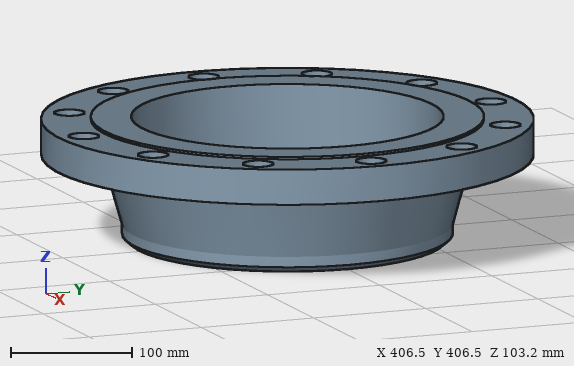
import cadquery as cq
import math

flange_diameter = 406.5
flange_thickness = 29.5
total_height = 103.2

face_diameter = 324.5
face_height = 2.0

bore_diameter = 257.5

bolt_count = 12
bolt_circle_diameter = 362.5
bolt_hole_diameter = 25.0

neck_end_diameter = 273.0
neck_end_height = 13.5
neck_root_diameter = 305.5
root_fillet = 6.0
bevel_width = 5.5
bevel_height = 5.0

flange_top = total_height - face_height
flange_bottom = flange_top - flange_thickness


def revolved_body():
    """Half section in the XZ plane, turned about the Z axis."""
    bore_radius = bore_diameter / 2
    flange_radius = flange_diameter / 2
    face_radius = face_diameter / 2
    neck_radius = neck_end_diameter / 2
    root_radius = neck_root_diameter / 2

    slope_angle = math.atan2(flange_bottom - neck_end_height, root_radius - neck_radius)
    tangent_length = root_fillet / math.tan(slope_angle / 2)
    cone_tangent = (
        root_radius - tangent_length * math.cos(slope_angle),
        flange_bottom - tangent_length * math.sin(slope_angle),
    )
    flange_tangent = (root_radius + tangent_length, flange_bottom)
    fillet_center = (flange_tangent[0], flange_bottom - root_fillet)
    mid_angle = math.pi / 2 + slope_angle / 2
    fillet_middle = (
        fillet_center[0] + root_fillet * math.cos(mid_angle),
        fillet_center[1] + root_fillet * math.sin(mid_angle),
    )

    return (
        cq.Workplane("XZ")
        .moveTo(bore_radius, 0)
        .lineTo(neck_radius - bevel_width, 0)
        .lineTo(neck_radius, bevel_height)
        .lineTo(neck_radius, neck_end_height)
        .lineTo(*cone_tangent)
        .threePointArc(fillet_middle, flange_tangent)
        .lineTo(flange_radius, flange_bottom)
        .lineTo(flange_radius, flange_top)
        .lineTo(face_radius, flange_top)
        .lineTo(face_radius, total_height)
        .lineTo(bore_radius, total_height)
        .close()
        .revolve(360, (0, 0, 0), (0, 1, 0))
    )


def bolt_holes():
    """Through holes on the bolt circle, the first one on the X axis."""
    return (
        cq.Workplane("XY")
        .workplane(offset=flange_bottom)
        .polarArray(bolt_circle_diameter / 2, 0, 360, bolt_count)
        .circle(bolt_hole_diameter / 2)
        .extrude(flange_thickness)
    )


result = revolved_body().cut(bolt_holes())